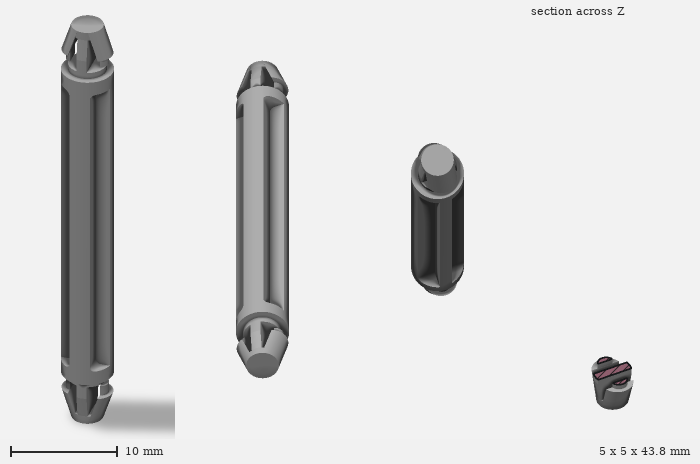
import cadquery as cq
import math

total_length = 43.8
body_diameter = 5.0
body_radius = body_diameter / 2

cap_thickness = 0.85
barb_depth = 3.0
toe_depth = 4.05
collar_depth = 4.3
shoulder_depth = 4.95

collar_diameter = 3.7
tip_diameter = 3.05
blade_thickness = 1.0
arm_inner_offset = 0.53
toe_outer = 2.1
toe_width = 1.58

groove_end_depth = 6.4
rib_width_x = 2.0
rib_width_y = 1.23
groove_corner_radius = 0.53

tip_z = total_length / 2
tip_radius = tip_diameter / 2
barb_z = tip_z - barb_depth
collar_z = tip_z - collar_depth
arm_shift = body_radius - tip_radius


def make_body():
    body_length = total_length - 2 * shoulder_depth
    body = cq.Workplane("XY").circle(body_radius).extrude(body_length / 2, both=True)
    groove_length = total_length - 2 * groove_end_depth
    groove_width = 2 * body_radius
    for side_x in (-1, 1):
        for side_y in (-1, 1):
            groove = (
                cq.Workplane("XY")
                .box(groove_width, body_radius, groove_length)
                .edges("|Y")
                .fillet(groove_corner_radius)
                .translate((
                    side_x * (rib_width_x + groove_width) / 2,
                    side_y * (rib_width_y + body_radius) / 2,
                    0,
                ))
            )
            body = body.cut(groove)
    return body


def make_core():
    """Round envelope of the collar, blade and cap, slotted to leave a central blade."""
    collar_radius = collar_diameter / 2
    core = (
        cq.Workplane("XZ")
        .moveTo(0, tip_z - shoulder_depth)
        .lineTo(collar_radius, tip_z - shoulder_depth)
        .lineTo(collar_radius, barb_z)
        .lineTo(tip_radius, tip_z - cap_thickness)
        .lineTo(tip_radius, tip_z)
        .lineTo(0, tip_z)
        .close()
        .revolve(360, (0, 0, 0), (0, 1, 0))
    )
    slot_height = collar_depth - cap_thickness
    for side in (-1, 1):
        slot = (
            cq.Workplane("XY")
            .box(body_radius, body_diameter, slot_height)
            .translate((
                side * (blade_thickness + body_radius) / 2,
                0,
                collar_z + slot_height / 2,
            ))
        )
        core = core.cut(slot)
    return core


def make_arm():
    """Slanted bar with a round outside and flat inside, ending in a barb and a short toe."""
    half_chord = math.sqrt(tip_radius**2 - arm_inner_offset**2)
    profile = (
        cq.Workplane("XY", origin=(0, 0, tip_z))
        .moveTo(arm_inner_offset, -half_chord)
        .threePointArc((tip_radius, 0), (arm_inner_offset, half_chord))
        .close()
    )
    slant = cq.Vector(arm_shift, 0, -barb_depth)
    bar = cq.Workplane(cq.Solid.extrudeLinear(profile.val(), [], slant))
    barb_inner = arm_shift + arm_inner_offset
    half_toe = toe_width / 2
    toe = (
        cq.Workplane("XY", origin=(0, 0, tip_z - toe_depth))
        .moveTo(barb_inner, -half_toe)
        .threePointArc((toe_outer, 0), (barb_inner, half_toe))
        .close()
        .extrude(toe_depth - barb_depth)
    )
    return bar.union(toe)


def make_snap_end():
    arm = make_arm()
    return make_core().union(arm).union(arm.mirror("YZ"))


snap_end = make_snap_end()
result = make_body().union(snap_end).union(snap_end.mirror("XY"))